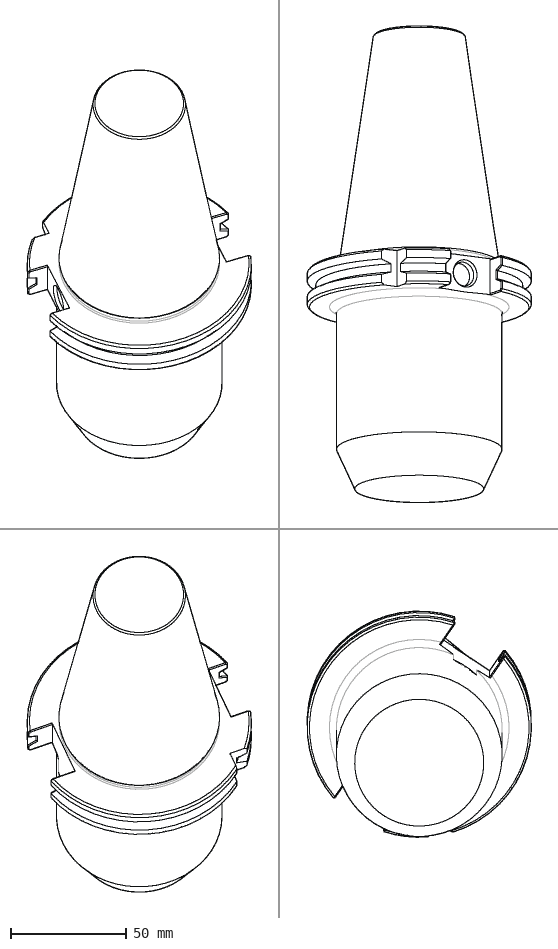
import cadquery as cq

tolerance = 0.002

total_height = 201.8
taper_length = 101.7
neck_length = 3.2
flange_thickness = 16.0
nose_height = 17.5

taper_base_z = total_height - taper_length
flange_top_z = taper_base_z - neck_length
flange_bottom_z = flange_top_z - flange_thickness
flange_middle_z = (flange_top_z + flange_bottom_z) / 2

flange_radius = 97.5 / 2
taper_base_radius = 69.8 / 2
taper_ratio = 7 / 24
taper_top_radius = taper_base_radius - taper_length * taper_ratio / 2
neck_fillet = 0.6
neck_radius = taper_base_radius - neck_fillet
body_radius = 72.0 / 2
nose_radius = 28.0

taper_top_chamfer = 0.8
flange_chamfer = 1.0
body_fillet = 3.0
slot_chamfer = 0.5

groove_floor_radius = 90.0 / 2
groove_floor_width = 3.6
groove_mouth_width = 6.9

slot_width = 25.6
back_slot_end_z = 66.8
front_slot_floor = 37.7
back_slot_floor = 35.5
notch_corner = 30.3

hole_diameter = 10.5
hole_mouth_diameter = 12.1
hole_mouth_depth = 1.5
hole_depth = 4.8


def turned_blank():
    """Taper, neck, flange, body and nose as one revolved profile."""
    profile = (
        cq.Workplane("XZ")
        .lineTo(nose_radius, 0)
        .lineTo(body_radius, nose_height)
        .lineTo(body_radius, flange_bottom_z - body_fillet)
        .radiusArc((body_radius + body_fillet, flange_bottom_z), body_fillet)
        .lineTo(flange_radius - flange_chamfer, flange_bottom_z)
        .lineTo(flange_radius, flange_bottom_z + flange_chamfer)
        .lineTo(flange_radius, flange_middle_z - groove_mouth_width / 2)
        .lineTo(groove_floor_radius, flange_middle_z - groove_floor_width / 2)
        .lineTo(groove_floor_radius, flange_middle_z + groove_floor_width / 2)
        .lineTo(flange_radius, flange_middle_z + groove_mouth_width / 2)
        .lineTo(flange_radius, flange_top_z - flange_chamfer)
        .lineTo(flange_radius - flange_chamfer, flange_top_z)
        .lineTo(neck_radius + neck_fillet, flange_top_z)
        .radiusArc((neck_radius, flange_top_z + neck_fillet), neck_fillet)
        .lineTo(neck_radius, taper_base_z - neck_fillet)
        .radiusArc((taper_base_radius, taper_base_z), neck_fillet)
        .lineTo(taper_top_radius, total_height - taper_top_chamfer)
        .lineTo(taper_top_radius - taper_top_chamfer, total_height)
        .lineTo(0, total_height)
        .close()
    )
    return profile.revolve(360, (0, 0, 0), (0, 1, 0))


def slot_cutter(floor, side, end_z):
    """Slot reaching outward from its floor; side is +1 toward +Y and -1 toward -Y."""
    reach = flange_radius - floor
    return (
        cq.Workplane("XY", origin=(0, side * (floor + reach / 2), end_z))
        .rect(slot_width, reach)
        .extrude(flange_top_z - end_z)
    )


def notch_cutter():
    """Square corner cut through the flange on its -X -Y side."""
    return (
        cq.Workplane("XY", origin=(-notch_corner, -notch_corner, flange_bottom_z))
        .rect(-flange_radius, -flange_radius, centered=False)
        .extrude(flange_thickness)
    )


def chamfer_slot_walls(part):
    """Break the outline of all four slot walls, leaving the edges along the slot floors sharp."""
    half_width = slot_width / 2
    wall_edges = []
    for edge in part.edges().vals():
        box = edge.BoundingBox()
        on_wall = box.xlen < tolerance and abs(abs(box.center.x) - half_width) < tolerance
        beyond_floor = box.ymax > back_slot_floor + tolerance or box.ymin < -front_slot_floor - tolerance
        if on_wall and beyond_floor:
            wall_edges.append(edge)
    return part.newObject(wall_edges).chamfer(slot_chamfer)


def slot_hole():
    """Blind flat-bottomed hole with a countersunk mouth, in the floor of the front slot."""
    floor = cq.Workplane("XZ", origin=(0, -front_slot_floor, flange_middle_z))
    drill = floor.circle(hole_diameter / 2).extrude(-hole_depth)
    mouth = (
        floor.circle(hole_mouth_diameter / 2)
        .workplane(offset=-hole_mouth_depth)
        .circle(hole_diameter / 2)
        .loft()
    )
    return drill.union(mouth)


slotted = (
    turned_blank()
    .cut(slot_cutter(front_slot_floor, -1, flange_bottom_z - body_fillet))
    .cut(slot_cutter(back_slot_floor, 1, back_slot_end_z))
)
result = chamfer_slot_walls(slotted).cut(notch_cutter()).cut(slot_hole())